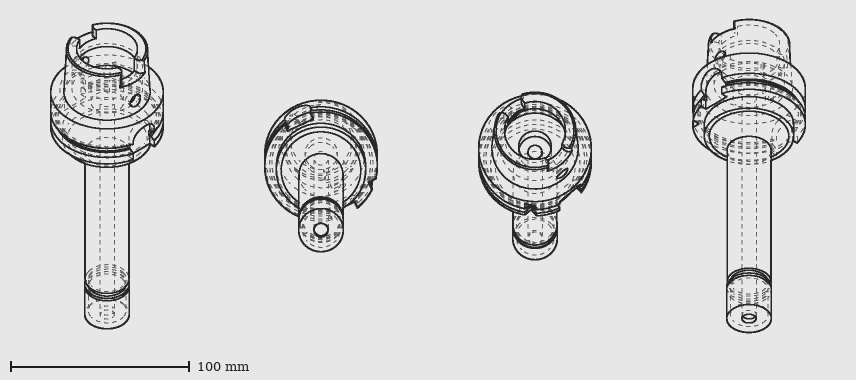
import cadquery as cq
import math


TOTAL_LENGTH = 197.0
SHANK_LENGTH = 32.0
NOSE_END_Z = SHANK_LENGTH - TOTAL_LENGTH

SHANK_BASE_D = 48.3
SHANK_TOP_D = 45.5
SHANK_CHAMFER_WIDTH = 1.0
SHANK_CHAMFER_HEIGHT = 0.8

BORE_D = 34.0
BORE_DEPTH = 29.5
UNDERCUT_D = 39.4
UNDERCUT_TOP_DEPTH = 13.2
COOLANT_SEAT_D = 18.3
COOLANT_SEAT_DEPTH = 9.8
PASSAGE_D = 7.9

DRIVE_SLOT_WIDTH = 12.5
DRIVE_SLOT_DEPTH_NEG_X = 6.3
DRIVE_SLOT_DEPTH_POS_X = 9.7
DRIVE_SLOT_CORNER_R = 3.5
DRIVE_SLOT_MOUTH_X = 21.0
ACCESS_HOLE_D = 7.7
ACCESS_HOLE_Z = 8.7

FLANGE_D = 63.0
FLANGE_HEIGHT = 26.0
GROOVE_D = 55.2
GROOVE_MOUTH_D = 57.7
GROOVE_TOP_Z = -14.5
GROOVE_FLOOR_TOP_Z = -16.5
GROOVE_FLOOR_BOTTOM_Z = -19.9
GROOVE_BOTTOM_Z = -21.3

KEYWAY_WIDTH = 16.0
KEYWAY_TOP_Z = -5.1
KEYWAY_FLOOR_X = 26.5
NOTCH_WALL_Y = 19.9
NOTCH_FLOOR_X = 19.7
NOTCH_TOP_Z = -4.3

HUB_D = 50.0
HUB_BOTTOM_Z = -34.3
CONE_TOP_D = 44.5
CONE_BOTTOM_Z = -44.3
SHAFT_D = 24.6
SHAFT_BOTTOM_Z = -138.9
NECK_D = 21.0

NUT_D = 25.0
RING_TOP_Z = -142.5
RING_HEIGHT = 1.8
NUT_TOP_Z = RING_TOP_Z - RING_HEIGHT
NUT_END_WALL = 3.0
NECK_END_Z = NOSE_END_Z + NUT_END_WALL


def cylinder(diameter, bottom_z, top_z):
    """A solid cylinder on the Z axis."""
    return cq.Workplane("XY", origin=(0, 0, bottom_z)).circle(diameter / 2).extrude(top_z - bottom_z)


def revolve_profile(diameters_and_heights):
    """A solid of revolution about Z, from (diameter, Z) corners listed from top to bottom."""
    top_z = diameters_and_heights[0][1]
    bottom_z = diameters_and_heights[-1][1]
    corners = [(diameter / 2, z) for diameter, z in diameters_and_heights]
    outline = [(0, top_z)] + corners + [(0, bottom_z)]
    return cq.Workplane("XZ").polyline(outline).close().revolve(360, (0, 0, 0), (0, 1, 0))


def make_shank():
    """Tapered shank with a chamfered end and its two drive slots, still without its bore."""
    shank = revolve_profile([
        (SHANK_TOP_D - 2 * SHANK_CHAMFER_WIDTH, SHANK_LENGTH),
        (SHANK_TOP_D, SHANK_LENGTH - SHANK_CHAMFER_HEIGHT),
        (SHANK_BASE_D, 0),
    ])
    for side, depth in ((-1, DRIVE_SLOT_DEPTH_NEG_X), (1, DRIVE_SLOT_DEPTH_POS_X)):
        shank = shank.cut(make_drive_slot(side, depth))
    return shank


def make_drive_slot(side, depth):
    """Cutter for a drive slot on one X side, with a mouth that flares out in rounded corners."""
    half_width = DRIVE_SLOT_WIDTH / 2
    r = DRIVE_SLOT_CORNER_R
    outer_x = FLANGE_D / 2
    mouth_x = DRIVE_SLOT_MOUTH_X
    mouth_y = half_width + r
    center_x = mouth_x - r
    middle_x = center_x + r * math.sin(math.pi / 4)
    middle_y = mouth_y - r * math.cos(math.pi / 4)
    return (
        cq.Workplane("XY", origin=(0, 0, SHANK_LENGTH - depth))
        .moveTo(0, -half_width)
        .lineTo(side * center_x, -half_width)
        .threePointArc((side * middle_x, -middle_y), (side * mouth_x, -mouth_y))
        .lineTo(side * outer_x, -mouth_y)
        .lineTo(side * outer_x, mouth_y)
        .lineTo(side * mouth_x, mouth_y)
        .threePointArc((side * middle_x, middle_y), (side * center_x, half_width))
        .lineTo(0, half_width)
        .close()
        .extrude(depth)
    )


def make_flange():
    """Flange with its V-sided gripper groove, two keyways and the orientation notch."""
    flange = revolve_profile([
        (FLANGE_D, 0),
        (FLANGE_D, GROOVE_TOP_Z),
        (GROOVE_MOUTH_D, GROOVE_FLOOR_TOP_Z),
        (GROOVE_D, GROOVE_FLOOR_TOP_Z),
        (GROOVE_D, GROOVE_FLOOR_BOTTOM_Z),
        (GROOVE_MOUTH_D, GROOVE_FLOOR_BOTTOM_Z),
        (FLANGE_D, GROOVE_BOTTOM_Z),
        (FLANGE_D, -FLANGE_HEIGHT),
    ])
    notch_center_y = NOTCH_WALL_Y + KEYWAY_WIDTH / 2
    flange = flange.cut(make_keyway(-1, 0, KEYWAY_TOP_Z, KEYWAY_FLOOR_X))
    flange = flange.cut(make_keyway(1, 0, KEYWAY_TOP_Z, KEYWAY_FLOOR_X))
    return flange.cut(make_keyway(-1, notch_center_y, NOTCH_TOP_Z, NOTCH_FLOOR_X))


def make_keyway(side, center_y, top_z, floor_x):
    """Cutter for a round-topped slot, open at the flange's lower face and on one X side."""
    radius = KEYWAY_WIDTH / 2
    spring_z = top_z - radius
    return (
        cq.Workplane("YZ", origin=(side * floor_x, 0, 0))
        .moveTo(center_y - radius, -FLANGE_HEIGHT)
        .lineTo(center_y - radius, spring_z)
        .threePointArc((center_y, top_z), (center_y + radius, spring_z))
        .lineTo(center_y + radius, -FLANGE_HEIGHT)
        .close()
        .extrude(side * FLANGE_D / 2)
    )


def make_nose():
    """Hub, cone, shaft and the neck that enters the ring and the nut."""
    return revolve_profile([
        (HUB_D, -FLANGE_HEIGHT),
        (HUB_D, HUB_BOTTOM_Z),
        (CONE_TOP_D, HUB_BOTTOM_Z),
        (SHAFT_D, CONE_BOTTOM_Z),
        (SHAFT_D, SHAFT_BOTTOM_Z),
        (NECK_D, SHAFT_BOTTOM_Z),
        (NECK_D, NECK_END_Z),
    ])


def make_holder_bore():
    """Cutter for the stepped bore with its undercut, the coolant seat and the passage."""
    bore_floor_z = SHANK_LENGTH - BORE_DEPTH
    undercut_top_z = SHANK_LENGTH - UNDERCUT_TOP_DEPTH
    seat_floor_z = bore_floor_z - COOLANT_SEAT_DEPTH
    return revolve_profile([
        (BORE_D, SHANK_LENGTH),
        (BORE_D, undercut_top_z),
        (UNDERCUT_D, undercut_top_z),
        (UNDERCUT_D, bore_floor_z),
        (COOLANT_SEAT_D, bore_floor_z),
        (COOLANT_SEAT_D, seat_floor_z),
        (PASSAGE_D, seat_floor_z),
        (PASSAGE_D, NECK_END_Z),
    ])


def make_access_hole():
    """Cutter for the cross hole along X through both walls of the shank."""
    return (
        cq.Workplane("YZ", origin=(0, 0, ACCESS_HOLE_Z))
        .circle(ACCESS_HOLE_D / 2)
        .extrude(FLANGE_D / 2, both=True)
    )


def make_holder():
    """Shank, flange and nose in one piece."""
    blank = make_shank().union(make_flange()).union(make_nose())
    return blank.cut(make_holder_bore()).cut(make_access_hole())


def make_spacer_ring():
    """Thin ring around the neck, resting on the nut."""
    return cylinder(NUT_D, NUT_TOP_Z, RING_TOP_Z).cut(cylinder(NECK_D, NUT_TOP_Z, RING_TOP_Z))


def make_clamping_nut():
    """Nut around the end of the neck, with an end wall that continues the passage."""
    nut = cylinder(NUT_D, NOSE_END_Z, NUT_TOP_Z)
    nut = nut.cut(cylinder(NECK_D, NECK_END_Z, NUT_TOP_Z))
    return nut.cut(cylinder(PASSAGE_D, NOSE_END_Z, NECK_END_Z))


holder = make_holder()
spacer_ring = make_spacer_ring()
clamping_nut = make_clamping_nut()

result = cq.Compound.makeCompound([holder.val(), spacer_ring.val(), clamping_nut.val()])